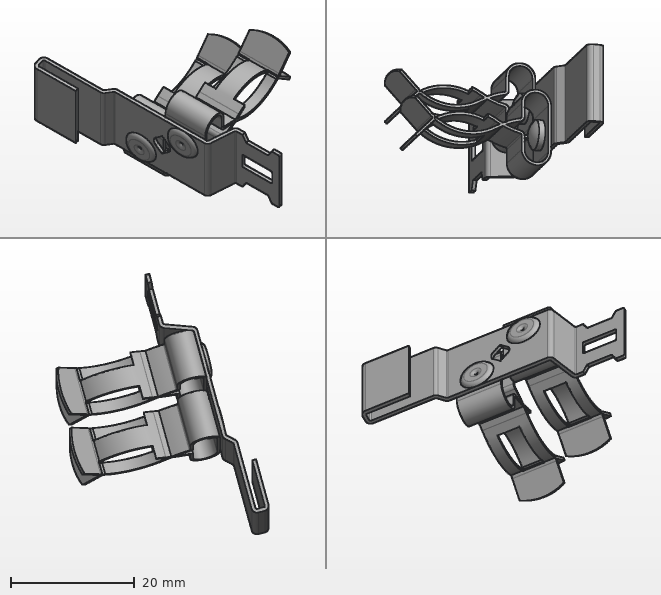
import cadquery as cq
import math

SHEET = 0.65
BRACKET_HEIGHT = 13.0
BEND_INNER_RADIUS = 0.25
HOOK_LEFT = -23.5
HOOK_LIP_END = -14.75
HOOK_FRONT = -4.28
HOOK_REAR = -1.44
LEFT_STEP_START = -11.11
LEFT_STEP_ANGLE = 47
RIGHT_STEP_START = 8.95
RIGHT_STEP_ANGLE = 70
TAB_REAR = 5.09
TAB_END = 19.85

TAB_CUT_X = 15.4
TAB_CORNER_RADIUS = 0.25
WINDOW_LENGTH = 6.0
WINDOW_HEIGHT = 3.0
NOTCH_MOUTH = 5.9
NOTCH_FLOOR = 4.4
NOTCH_DEPTH = 1.5
DIAMOND_HALF_DIAGONAL = 2.19
DIAMOND_SIDE_RADIUS = 1.3

FIXING_X = 4.2
FIXING_Z = 3.5
FIXINGS = [(-FIXING_X, -FIXING_Z), (FIXING_X, FIXING_Z)]

CLIP_WIDTH = 8.0
CLIP_SHEET = 0.5
LOOP_DEPTH = 5.0
LOOP_HEIGHT = 12.8
JAW_BEND_RADIUS = 0.5
JAW_BEND_Z = 1.55
JAW_START_ANGLE = 13
JAW_ARC_START_Y = 9.27
JAW_RADIUS = 9.0
JAW_PEAK_Y = 14.05
JAW_PEAK = 1.95
LIP_TIP_Y = 23.52
LIP_ANGLE = 46
LIP_START_Y = 20.2
LIP_END_RADIUS = 9.2
FINGER_WIDTH = 3.6
PRONG_SLOT_WIDTH = 4.0
SLIT_START_Y = 10.7
SLIT_END_Y = 19.7

SHANK_DIAMETER = 3.0
HEAD_DIAMETER = 6.0
HEAD_FLAT_DIAMETER = 4.25
HEAD_HEIGHT = 0.65
DIMPLE_DIAMETER = 2.0
DIMPLE_DEPTH = 0.7
TAIL_DIAMETER = 5.0
TAIL_RIM = 1.05
TAIL_DOME = 1.0


def make_bracket_strip():
    half = SHEET / 2
    lip_y = HOOK_FRONT + half
    hook_y = HOOK_REAR - half
    plate_y = -half
    tab_y = TAB_REAR - half
    wall_x = HOOK_LEFT + half
    left_step_end = LEFT_STEP_START + (plate_y - hook_y) / math.tan(math.radians(LEFT_STEP_ANGLE))
    right_step_end = RIGHT_STEP_START + (tab_y - plate_y) / math.tan(math.radians(RIGHT_STEP_ANGLE))
    sharp_line = cq.Workplane("XY").polyline([
        (HOOK_LIP_END, lip_y),
        (wall_x, lip_y),
        (wall_x, hook_y),
        (LEFT_STEP_START, hook_y),
        (left_step_end, plate_y),
        (RIGHT_STEP_START, plate_y),
        (right_step_end, tab_y),
        (TAB_END, tab_y),
    ]).wire().val()
    middle_line = sharp_line.fillet(BEND_INNER_RADIUS + half, sharp_line.Vertices()[1:-1])
    section = cq.Workplane("YZ", origin=(HOOK_LIP_END, lip_y, 0)).rect(SHEET, BRACKET_HEIGHT)
    return section.sweep(cq.Workplane(middle_line))


def prism_along_y(outline, start, end):
    """Extrude an outline drawn in X and Z from one Y to another."""
    return outline.extrude(-(end - start)).translate((0, start, 0))


def make_tab_cutters():
    window = cq.Workplane("XZ").center(TAB_CUT_X, 0).rect(WINDOW_LENGTH, WINDOW_HEIGHT)
    cutters = prism_along_y(window, 0, 2 * TAB_REAR).edges("|Y").fillet(TAB_CORNER_RADIUS)
    for side in (-1, 1):
        edge = side * BRACKET_HEIGHT / 2
        floor = edge - side * NOTCH_DEPTH
        notch = cq.Workplane("XZ").polyline([
            (TAB_CUT_X - NOTCH_MOUTH / 2, edge),
            (TAB_CUT_X - NOTCH_FLOOR / 2, floor),
            (TAB_CUT_X + NOTCH_FLOOR / 2, floor),
            (TAB_CUT_X + NOTCH_MOUTH / 2, edge),
        ]).close()
        cutters = cutters.add(prism_along_y(notch, 0, 2 * TAB_REAR))
    return cutters.combine()


def make_diamond_cutter():
    diamond = cq.Workplane("XZ").polyline([
        (DIAMOND_HALF_DIAGONAL, 0),
        (0, DIAMOND_HALF_DIAGONAL),
        (-DIAMOND_HALF_DIAGONAL, 0),
        (0, -DIAMOND_HALF_DIAGONAL),
    ]).close()
    cutter = prism_along_y(diamond, -2 * SHEET, SHEET)
    return cutter.edges("|Y and (<X or >X)").fillet(DIAMOND_SIDE_RADIUS)


def make_bracket():
    bracket = make_bracket_strip()
    bracket = bracket.edges("|Y and >X").fillet(TAB_CORNER_RADIUS)
    bracket = bracket.cut(make_tab_cutters()).cut(make_diamond_cutter())
    for x, z in FIXINGS:
        hole = cq.Workplane("XZ").center(x, z).circle(SHANK_DIAMETER / 2)
        bracket = bracket.cut(prism_along_y(hole, -2 * SHEET, SHEET))
    return bracket


def make_half_clip():
    """Half of the clip's strip: from the middle of the rear wall, round the top loop, to one lip."""
    half = CLIP_SHEET / 2
    back_y = half
    front_y = LOOP_DEPTH - half
    loop_radius = (front_y - back_y) / 2
    loop_z = LOOP_HEIGHT / 2 - LOOP_DEPTH / 2
    turn = math.radians(90 - JAW_START_ANGLE)
    bend_end = (
        front_y + JAW_BEND_RADIUS * (1 - math.cos(turn)),
        JAW_BEND_Z - JAW_BEND_RADIUS * math.sin(turn),
    )
    bend_middle = (
        front_y + JAW_BEND_RADIUS * (1 - math.cos(turn / 2)),
        JAW_BEND_Z - JAW_BEND_RADIUS * math.sin(turn / 2),
    )
    jaw_centre_z = JAW_RADIUS - JAW_PEAK
    jaw_start_z = jaw_centre_z - math.sqrt(JAW_RADIUS**2 - (JAW_PEAK_Y - JAW_ARC_START_Y) ** 2)
    lip_slope = math.radians(LIP_ANGLE)
    lip_start_z = jaw_centre_z - math.sqrt(JAW_RADIUS**2 - (LIP_START_Y - JAW_PEAK_Y) ** 2)
    lip_tip_z = lip_start_z + (LIP_TIP_Y - LIP_START_Y) * math.tan(lip_slope)
    middle_line = (
        cq.Workplane("YZ")
        .moveTo(back_y, 0)
        .lineTo(back_y, loop_z)
        .threePointArc(((back_y + front_y) / 2, loop_z + loop_radius), (front_y, loop_z))
        .lineTo(front_y, JAW_BEND_Z)
        .threePointArc(bend_middle, bend_end)
        .tangentArcPoint((JAW_ARC_START_Y, jaw_start_z), relative=False)
        .threePointArc((JAW_PEAK_Y, -JAW_PEAK), (LIP_START_Y, lip_start_z))
        .lineTo(LIP_TIP_Y, lip_tip_z)
    )
    section = cq.Workplane("XY", origin=(0, back_y, 0)).rect(CLIP_WIDTH, CLIP_SHEET)
    strip = section.sweep(middle_line, transition="right")
    lip_plane = cq.Plane(
        origin=(0, LIP_TIP_Y, lip_tip_z),
        xDir=(1, 0, 0),
        normal=(0, -math.sin(lip_slope), math.cos(lip_slope)),
    )
    sagitta = LIP_END_RADIUS - math.sqrt(LIP_END_RADIUS**2 - (CLIP_WIDTH / 2) ** 2)
    corner = CLIP_WIDTH / 2
    lip_waste = (
        cq.Workplane(lip_plane)
        .moveTo(-corner, -sagitta)
        .threePointArc((0, 0), (corner, -sagitta))
        .lineTo(corner, sagitta)
        .lineTo(-corner, sagitta)
        .close()
        .extrude(CLIP_SHEET, both=True)
    )
    return strip.cut(lip_waste)


def jaw_window(width, middle_x, side):
    """Block that clears one side (above 1, below -1) of the clip between its two crossings."""
    length = SLIT_END_Y - SLIT_START_Y
    height = LOOP_HEIGHT / 2
    window = cq.Workplane("XY").box(width, length, height)
    return window.translate((middle_x, SLIT_START_Y + length / 2, side * height / 2))


def make_clip():
    half_clip = make_half_clip()
    clip = half_clip.union(half_clip.mirror("XY"))
    beside_finger = (CLIP_WIDTH - FINGER_WIDTH) / 2
    for side in (-1, 1):
        clip = clip.cut(jaw_window(beside_finger, side * (CLIP_WIDTH - beside_finger) / 2, 1))
    clip = clip.cut(jaw_window(PRONG_SLOT_WIDTH, 0, -1))
    rivet_hole = cq.Workplane("XZ").circle(SHANK_DIAMETER / 2)
    return clip.cut(prism_along_y(rivet_hole, -CLIP_SHEET, 2 * CLIP_SHEET))


def make_rivet():
    """Rivet turned about the Y axis, with its head on the plate and its tail inside the clip."""
    head_top = -SHEET - HEAD_HEIGHT
    flare_radius = ((DIMPLE_DIAMETER / 2) ** 2 + DIMPLE_DEPTH**2) / (2 * DIMPLE_DEPTH)
    dimple_middle_r = DIMPLE_DIAMETER / 4
    dimple_middle_y = head_top + flare_radius - math.sqrt(
        flare_radius**2 - (DIMPLE_DIAMETER / 2 - dimple_middle_r) ** 2
    )
    edge_run = (HEAD_DIAMETER - HEAD_FLAT_DIAMETER) / 2
    tail_base = CLIP_SHEET
    rim_top = tail_base + TAIL_RIM
    dome_top = rim_top + TAIL_DOME
    dome_radius = ((TAIL_DIAMETER / 2) ** 2 + TAIL_DOME**2) / (2 * TAIL_DOME)
    dome_middle_r = TAIL_DIAMETER / 4
    dome_middle_y = dome_top - dome_radius + math.sqrt(dome_radius**2 - dome_middle_r**2)
    profile = (
        cq.Workplane("YZ")
        .moveTo(head_top + DIMPLE_DEPTH, 0)
        .threePointArc((dimple_middle_y, dimple_middle_r), (head_top, DIMPLE_DIAMETER / 2))
        .lineTo(head_top, HEAD_FLAT_DIAMETER / 2)
        .tangentArcPoint((HEAD_HEIGHT, edge_run))
        .lineTo(-SHEET, SHANK_DIAMETER / 2)
        .lineTo(tail_base, SHANK_DIAMETER / 2)
        .lineTo(tail_base, TAIL_DIAMETER / 2)
        .lineTo(rim_top, TAIL_DIAMETER / 2)
        .threePointArc((dome_middle_y, dome_middle_r), (dome_top, 0))
        .close()
    )
    return profile.revolve(360, (0, 0, 0), (1, 0, 0))


bracket = make_bracket()
clip = make_clip()
rivet = make_rivet()
clips = [clip.translate((x, 0, z)) for x, z in FIXINGS]
rivets = [rivet.translate((x, 0, z)) for x, z in FIXINGS]

result = cq.Compound.makeCompound([
    bracket.val(),
    *[copy.val() for copy in clips],
    *[copy.val() for copy in rivets],
])